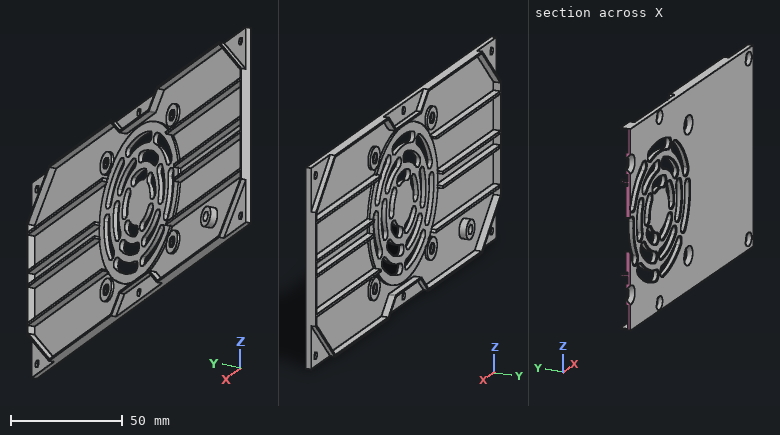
import cadquery as cq
import math

length = 200.0
height = 95.0
thickness = 5.0
flange_thickness = 2.5
front_y = -thickness / 2
flange_back_y = front_y + flange_thickness

corner_relief = 20.5
notch_half_mouth = 21.5
notch_depth = 8.0

skin_thickness = 1.5
skin_back_y = front_y + skin_thickness
hollow_depth = thickness - skin_thickness
rim_wall = 0.8
rib_width = 1.2
inner_rib_z = 3.5
outer_rib_z = 22.0
rib_heights = (-outer_rib_z, -inner_rib_z, inner_rib_z, outer_rib_z)
fan_opening_diameter = 74.0
boss_wall = 0.8
grille_thickness = flange_thickness

edge_screw_diameter = 3.2
edge_screw_head = 6.5
corner_screw_inset = 5.0
middle_screw_z = 43.8
corner_screw_x = length / 2 - corner_screw_inset
corner_screw_z = height / 2 - corner_screw_inset

fan_screw_diameter = 5.0
fan_screw_head = 9.0
fan_screw_offset = 30.8

counterbore_x = -66.8
counterbore_z = -32.5
counterbore_hole = 4.5
counterbore_head = 7.5
counterbore_depth = 1.5

slot_width = 5.8
slot_chamfer = 0.5
grille_rings = (
    (30.0, 7, 90.0, 18.6),
    (21.5, 6, 56.0, 20.0),
    (13.0, 5, 90.0, 20.5),
)

corner_screws = [(x, z) for x in (-corner_screw_x, corner_screw_x) for z in (-corner_screw_z, corner_screw_z)]
edge_screws = corner_screws + [(0, -middle_screw_z), (0, middle_screw_z)]
fan_screws = [(i * fan_screw_offset, j * fan_screw_offset) for i in (-1, 1) for j in (-1, 1)]
counterbore_position = [(counterbore_x, counterbore_z)]


def sketch_at(y):
    """Sketch plane parallel to the front face; a negative extrusion runs towards the rear."""
    return cq.Workplane("XZ", origin=(0, y, 0))


def cylinders(points, diameter, start_y, depth):
    return sketch_at(start_y).pushPoints(points).circle(diameter / 2).extrude(-depth)


def rear_layer_outline():
    half_x = length / 2
    half_z = height / 2
    notch_half_floor = notch_half_mouth - notch_depth
    upper = [
        (-half_x, half_z - corner_relief),
        (-half_x + corner_relief, half_z),
        (-notch_half_mouth, half_z),
        (-notch_half_floor, half_z - notch_depth),
        (notch_half_floor, half_z - notch_depth),
        (notch_half_mouth, half_z),
        (half_x - corner_relief, half_z),
        (half_x, half_z - corner_relief),
    ]
    lower = [(x, -z) for x, z in reversed(upper)]
    return upper + lower


def panel():
    flange = sketch_at(front_y).rect(length, height).extrude(-flange_thickness)
    rear_layer = sketch_at(flange_back_y).polyline(rear_layer_outline()).close()
    return flange.union(rear_layer.extrude(-(thickness - flange_thickness)))


def hollow():
    """Space behind the skin, inside the rim, leaving the ribs, the grille plate and the bosses."""
    outline = sketch_at(skin_back_y).polyline(rear_layer_outline()).close()
    space = outline.offset2D(-rim_wall).extrude(-hollow_depth)
    for z in rib_heights:
        rib = sketch_at(skin_back_y).center(0, z).rect(length, rib_width).extrude(-hollow_depth)
        space = space.cut(rib)

    fan_pad_diameter = fan_screw_head + 2 * boss_wall
    for points, diameter in (([(0, 0)], fan_opening_diameter), (fan_screws, fan_pad_diameter)):
        space = space.union(cylinders(points, diameter, skin_back_y, hollow_depth))
        space = space.cut(cylinders(points, diameter, front_y, grille_thickness))

    boss_diameter = counterbore_head + 2 * boss_wall
    return space.cut(cylinders(counterbore_position, boss_diameter, skin_back_y, hollow_depth))


def countersunk_holes(points, diameter, head):
    """Through holes with a 90 degree countersink in the front face."""
    sink_depth = (head - diameter) / 2
    holes = cylinders(points, diameter, front_y, thickness)
    for x, z in points:
        mouth = cq.Vector(x, front_y, z)
        cone = cq.Solid.makeCone(head / 2, diameter / 2, sink_depth, mouth, cq.Vector(0, 1, 0))
        holes = holes.union(cq.Workplane(cone))
    return holes


def counterbored_hole():
    hole = cylinders(counterbore_position, counterbore_hole, front_y, thickness)
    head = cylinders(counterbore_position, counterbore_head, front_y, counterbore_depth)
    return hole.union(head)


def polar(radius, angle):
    angle = math.radians(angle)
    return (radius * math.cos(angle), radius * math.sin(angle))


def arc_slot(radius, half_sweep, width, sketch):
    """Closed outline of a round-ended slot bent along a circle, centred on the +X axis."""
    inner = radius - width / 2
    outer = radius + width / 2
    centre_x, centre_z = polar(radius, half_sweep)
    along_x, along_z = polar(width / 2, half_sweep + 90)
    tip_x = centre_x + along_x
    tip_z = centre_z + along_z
    return (
        sketch.moveTo(*polar(outer, -half_sweep))
        .threePointArc((outer, 0), polar(outer, half_sweep))
        .threePointArc((tip_x, tip_z), polar(inner, half_sweep))
        .threePointArc((inner, 0), polar(inner, -half_sweep))
        .threePointArc((tip_x, -tip_z), polar(outer, -half_sweep))
        .close()
    )


def grille_slots():
    """Slots through the skin, widened by a chamfer at the front face."""
    through_width = slot_width - 2 * slot_chamfer
    slots = []
    for radius, count, first_angle, half_sweep in grille_rings:
        mouth = arc_slot(radius, half_sweep, slot_width, sketch_at(front_y - slot_chamfer))
        mouth = mouth.extrude(-2 * slot_chamfer).faces(">Y").chamfer(slot_chamfer)
        through = arc_slot(radius, half_sweep, through_width, sketch_at(front_y))
        slot = mouth.union(through.extrude(-grille_thickness))
        for i in range(count):
            angle = first_angle + i * 360 / count
            slots.append(slot.rotate((0, 0, 0), (0, -1, 0), angle))
    return slots


result = panel().cut(hollow())
result = result.cut(countersunk_holes(edge_screws, edge_screw_diameter, edge_screw_head))
result = result.cut(countersunk_holes(fan_screws, fan_screw_diameter, fan_screw_head))
result = result.cut(counterbored_hole())
for slot in grille_slots():
    result = result.cut(slot)